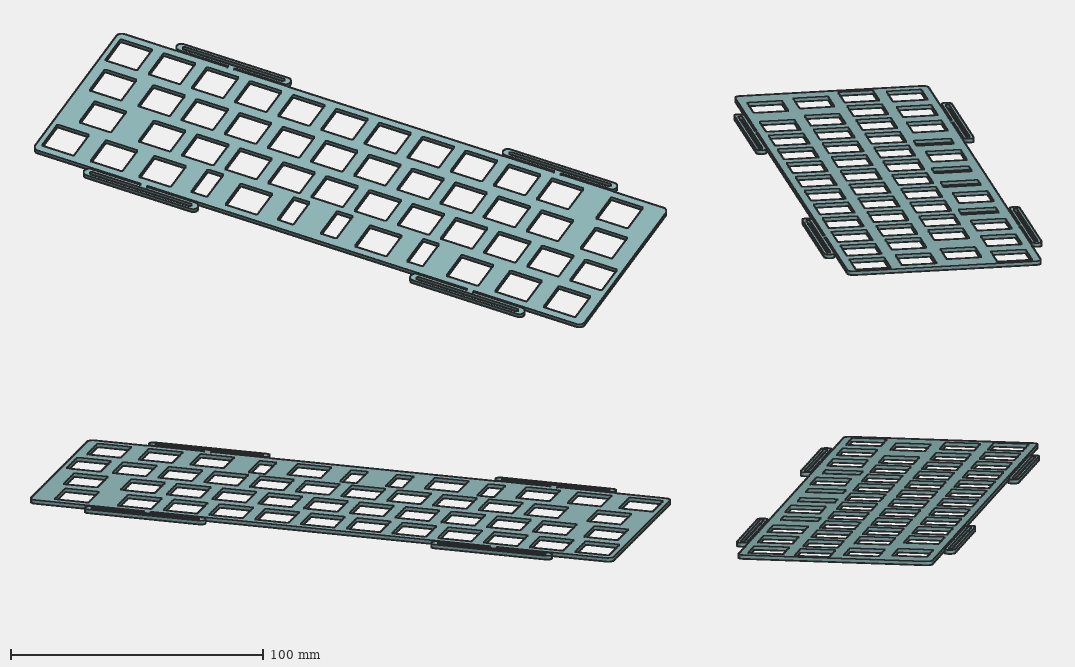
import cadquery as cq

plate_length = 242.5
plate_width = 78.0
thickness = 1.6
plate_corner_radius = 2.5

ten_unit_span = 190.5
key_unit = ten_unit_span / 10
first_key_inset = 9.5
switch_size = 14.0
window_corner_radius = 0.5

stabilizer_width = 7.0
stabilizer_height = 15.0
stabilizer_rise = 1.5
stabilizer_reach = 1.0

overall_width = 87.8
tab_spacing = 144.0
tab_length = 50.2
tab_width = 4.1
slot_length = 45.0
slot_width = 1.5
bridge_width = 3.0

space_bar = 3.0
key_rows = [
    [1.0] * 11 + [1.75],
    [1.25] + [1.0] * 10 + [1.5],
    [1.75] + [1.0] * 11,
    [1.0, 1.25, 1.0, space_bar, space_bar, 1.25, 1.0, 1.25],
]

grid_left = -plate_length / 2 + first_key_inset - key_unit / 2
top_row_y = key_unit * (len(key_rows) - 1) / 2


def find_keys():
    """Return the switch centres and the space bar centres."""
    switches = []
    space_bars = []
    for row, widths in enumerate(key_rows):
        y = top_row_y - row * key_unit
        left = grid_left
        for width in widths:
            center = (left + width * key_unit / 2, y)
            switches.append(center)
            if width == space_bar:
                space_bars.append(center)
            left += width * key_unit
    return switches, space_bars


def make_plate():
    plate = cq.Workplane("XY").box(plate_length, plate_width, thickness, centered=(True, True, False))
    return plate.edges("|Z").fillet(plate_corner_radius)


def make_windows(centers, width, height):
    """Build the cutters for equal rectangular windows with rounded corners."""
    windows = cq.Workplane("XY").pushPoints(centers).rect(width, height).extrude(thickness)
    return windows.edges("|Z").fillet(window_corner_radius)


def find_stabilizers(space_bars):
    """Return the window centres on both sides of each space bar."""
    reach = stabilizer_reach * key_unit
    return [(x + side * reach, y + stabilizer_rise) for x, y in space_bars for side in (-1, 1)]


def make_tab(x, side):
    """Build a slotted, round-ended tab joined to the plate by a narrow bridge."""
    tab_y = side * (overall_width - tab_width) / 2
    plate_edge_y = side * plate_width / 2
    tab = cq.Workplane("XY").center(x, tab_y).slot2D(tab_length, tab_width).extrude(thickness)
    slot = cq.Workplane("XY").center(x, tab_y).slot2D(slot_length, slot_width).extrude(thickness)

    rim = (tab_width - slot_width) / 2
    bridge_start = plate_edge_y - side * rim
    bridge_end = tab_y - side * slot_width / 2
    bridge = (
        cq.Workplane("XY")
        .center(x, (bridge_start + bridge_end) / 2)
        .rect(bridge_width, abs(bridge_end - bridge_start))
        .extrude(thickness)
    )
    return tab.cut(slot).union(bridge)


switch_centers, space_bar_centers = find_keys()
stabilizer_centers = find_stabilizers(space_bar_centers)

result = make_plate()
result = result.cut(make_windows(switch_centers, switch_size, switch_size))
result = result.cut(make_windows(stabilizer_centers, stabilizer_width, stabilizer_height))
for tab_x in (-tab_spacing / 2, tab_spacing / 2):
    for tab_side in (-1, 1):
        result = result.union(make_tab(tab_x, tab_side))